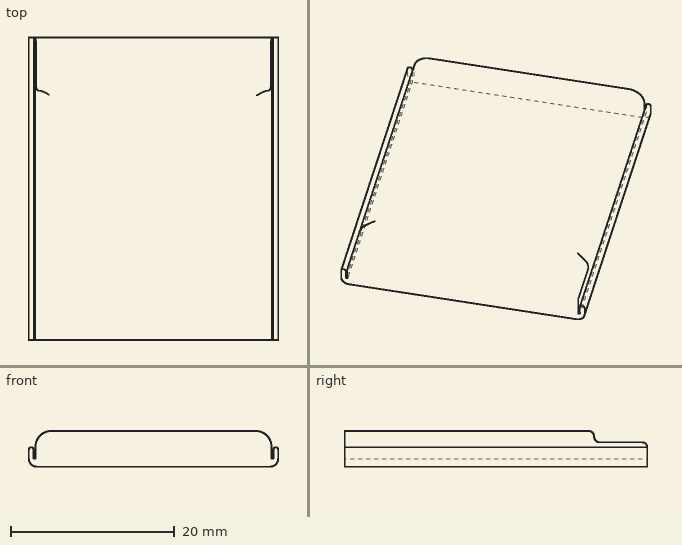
import cadquery as cq

width = 30.5
length = 37.0
height = 4.4

lip_height = 2.4
lip_thickness = 0.6
groove_width = 0.2
groove_floor = 1.0
bottom_edge_radius = 1.0

body_width = width - 2 * (lip_thickness + groove_width)
body_corner_radius = 2.0

shelf_height = 3.0
shelf_length = 6.5
shelf_blend_radius = (height - shelf_height) / 2
back_edge_radius = 0.6

front_y = -length / 2
back_y = length / 2
step_y = back_y - shelf_length


def make_lip(side):
    """Upright lip with a half-round top; side is -1 for the -X lip and +1 for the +X lip."""
    lip_top_radius = lip_thickness / 2
    round_center_z = lip_height - lip_top_radius
    outer_x = side * width / 2
    inner_x = outer_x - side * lip_thickness
    profile = (
        cq.Workplane("XZ")
        .workplane(offset=-back_y)
        .moveTo(outer_x, groove_floor)
        .lineTo(outer_x, round_center_z)
        .threePointArc(((outer_x + inner_x) / 2, lip_height), (inner_x, round_center_z))
        .lineTo(inner_x, groove_floor)
        .close()
    )
    return profile.extrude(length)


def make_floor():
    """Full-width slab below the grooves with rounded long bottom edges."""
    slab = cq.Workplane("XY").box(width, length, lip_height, centered=(True, True, False))
    slab = slab.edges("|Y and <Z").fillet(bottom_edge_radius)
    below_grooves = cq.Workplane("XY").box(width, length, groove_floor, centered=(True, True, False))
    return slab.intersect(below_grooves)


def make_body_section():
    """Raised body of constant section, rounded along its top long edges."""
    body = (
        cq.Workplane("XY")
        .workplane(offset=groove_floor)
        .rect(body_width, length)
        .extrude(height - groove_floor)
    )
    return body.edges("|Y and >Z").fillet(body_corner_radius)


def make_side_profile():
    """Stepped lengthwise outline: rounded back edge, shelf, then an S-shaped rise."""
    profile = (
        cq.Workplane("YZ")
        .workplane(offset=-body_width / 2)
        .moveTo(front_y, groove_floor)
        .lineTo(back_y, groove_floor)
        .lineTo(back_y, shelf_height - back_edge_radius)
        .radiusArc((back_y - back_edge_radius, shelf_height), -back_edge_radius)
        .lineTo(step_y + shelf_blend_radius, shelf_height)
        .radiusArc((step_y, shelf_height + shelf_blend_radius), shelf_blend_radius)
        .radiusArc((step_y - shelf_blend_radius, height), -shelf_blend_radius)
        .lineTo(front_y, height)
        .close()
    )
    return profile.extrude(body_width)


result = make_floor()
for side in (-1, 1):
    result = result.union(make_lip(side))
result = result.union(make_body_section().intersect(make_side_profile()))